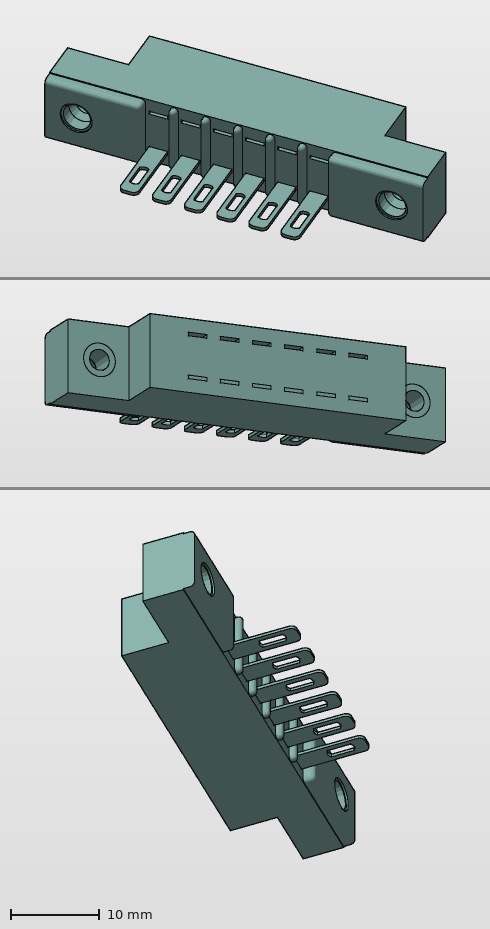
import cadquery as cq


LENGTH = 46.8
HEIGHT = 8.7
BACK_Y = 10.7
EAR_BACK_Y = 4.95
MIDDLE_LENGTH = 31.72

PAD_DEPTH = 1.35
PAD_INNER_X = 11.5
FRONT_INSET = 0.15
PAD_FILLET = 0.55
RIB_WIDTH = 1.0
RIB_RADIUS = RIB_WIDTH / 2
RIB_DEPTH = 0.8

CONTACT_COUNT = 6
PITCH = 4.0
ROW_Z = 2.55
CONTACT_WIDTH = 2.3
CONTACT_THICKNESS = 0.4
CONTACT_REACH = 8.45
TIP_RADIUS = 0.7
EYE_WIDTH = 1.1
EYE_LENGTH = 3.28
EYE_CENTRE_Y = -5.3
EYE_END_RISE = 0.25

BUSHING_X = 19.5
BUSHING_DIAMETER = 3.95
MOUTH_DIAMETER = 3.35
BORE_DIAMETER = 2.45
BUSHING_SINK = 0.25
MOUTH_DEPTH = 1.55
CONE_DEPTH = 0.95

PAD_FRONT_Y = -PAD_DEPTH
FRONT_HEIGHT = HEIGHT - 2 * FRONT_INSET
CONTACT_XS = [(i - (CONTACT_COUNT - 1) / 2) * PITCH for i in range(CONTACT_COUNT)]
RIB_XS = [x + PITCH / 2 for x in CONTACT_XS[:-1]]


def block(x_min, x_max, y_min, y_max, height):
    """Box between the given X and Y limits, centred on mid height."""
    size = (x_max - x_min, y_max - y_min, height)
    centre = ((x_min + x_max) / 2, (y_min + y_max) / 2, 0)
    return cq.Workplane("XY").box(*size).translate(centre)


def y_cylinder(x, diameter, y_min, y_max):
    """Cylinder along Y at mid height."""
    plane = cq.Workplane("XZ", origin=(x, y_max, 0))
    return plane.circle(diameter / 2).extrude(y_max - y_min)


def make_pad(side):
    """Pad in front of one ear, rounded on its front and inner edges."""
    pad = block(PAD_INNER_X, LENGTH / 2, PAD_FRONT_Y, 0, FRONT_HEIGHT)
    pad = pad.edges("<Y or <X").edges("not >X").edges("not >Y").fillet(PAD_FILLET)
    return pad if side > 0 else pad.mirror("YZ")


def make_rib(x):
    """Upright rib with a half-round front and domed ends."""
    half_span = FRONT_HEIGHT / 2 - RIB_RADIUS
    nose_y = RIB_RADIUS - RIB_DEPTH
    stem = (
        cq.Workplane("XZ", origin=(x, 0, 0))
        .slot2D(FRONT_HEIGHT, RIB_WIDTH, 90)
        .extrude(-nose_y)
    )
    nose = (
        cq.Workplane("XY", origin=(x, nose_y, -half_span))
        .circle(RIB_RADIUS)
        .extrude(2 * half_span)
    )
    rib = stem.union(nose)
    for z in (-half_span, half_span):
        rib = rib.union(cq.Workplane("XY", origin=(x, nose_y, z)).sphere(RIB_RADIUS))
    return rib


def contact_slot(x, z):
    """Space for one contact, from the ledge through to the back face."""
    slot = cq.Workplane("XY").box(CONTACT_WIDTH, BACK_Y, CONTACT_THICKNESS)
    return slot.translate((x, BACK_Y / 2, z))


def make_housing():
    """Stepped block with ribs and pads, bushing holes and two rows of contact slots."""
    body = block(-LENGTH / 2, LENGTH / 2, 0, EAR_BACK_Y, HEIGHT)
    body = body.union(block(-MIDDLE_LENGTH / 2, MIDDLE_LENGTH / 2, 0, BACK_Y, HEIGHT))
    for x in RIB_XS:
        body = body.union(make_rib(x))
    for side in (-1, 1):
        body = body.union(make_pad(side))
        body = body.cut(y_cylinder(side * BUSHING_X, BUSHING_DIAMETER, PAD_FRONT_Y, EAR_BACK_Y))
    for x in CONTACT_XS:
        for z in (-ROW_Z, ROW_Z):
            body = body.cut(contact_slot(x, z))
    return body


def make_contact(x):
    """Flat contact in the lower row, with rounded tip corners and a wire eye."""
    blade = block(-CONTACT_WIDTH / 2, CONTACT_WIDTH / 2, -CONTACT_REACH, BACK_Y, CONTACT_THICKNESS)
    blade = blade.edges("|Z and <Y").fillet(TIP_RADIUS)
    half_width = EYE_WIDTH / 2
    half_length = EYE_LENGTH / 2
    side_length = half_length - EYE_END_RISE
    eye = (
        cq.Workplane("XY", origin=(0, EYE_CENTRE_Y, -CONTACT_THICKNESS / 2))
        .moveTo(half_width, -side_length)
        .lineTo(half_width, side_length)
        .threePointArc((0, half_length), (-half_width, side_length))
        .lineTo(-half_width, -side_length)
        .threePointArc((0, -half_length), (half_width, -side_length))
        .close()
        .extrude(CONTACT_THICKNESS)
    )
    return blade.cut(eye).translate((x, 0, -ROW_Z))


def make_bushing(x):
    """Sleeve sunk in an ear, with a wide front mouth that tapers down to the bore."""
    front_y = PAD_FRONT_Y + BUSHING_SINK
    cone_y = front_y + MOUTH_DEPTH
    outer_radius = BUSHING_DIAMETER / 2
    mouth_radius = MOUTH_DIAMETER / 2
    bore_radius = BORE_DIAMETER / 2
    return (
        cq.Workplane("XY", origin=(x, 0, 0))
        .moveTo(outer_radius, front_y)
        .lineTo(mouth_radius, front_y)
        .lineTo(mouth_radius, cone_y)
        .lineTo(bore_radius, cone_y + CONE_DEPTH)
        .lineTo(bore_radius, EAR_BACK_Y)
        .lineTo(outer_radius, EAR_BACK_Y)
        .close()
        .revolve(360, (0, 0, 0), (0, 1, 0))
    )


housing = make_housing()
contacts = [make_contact(x) for x in CONTACT_XS]
bushings = [make_bushing(side * BUSHING_X) for side in (-1, 1)]

bodies = [housing, *contacts, *bushings]
result = cq.Compound.makeCompound([body.val() for body in bodies])